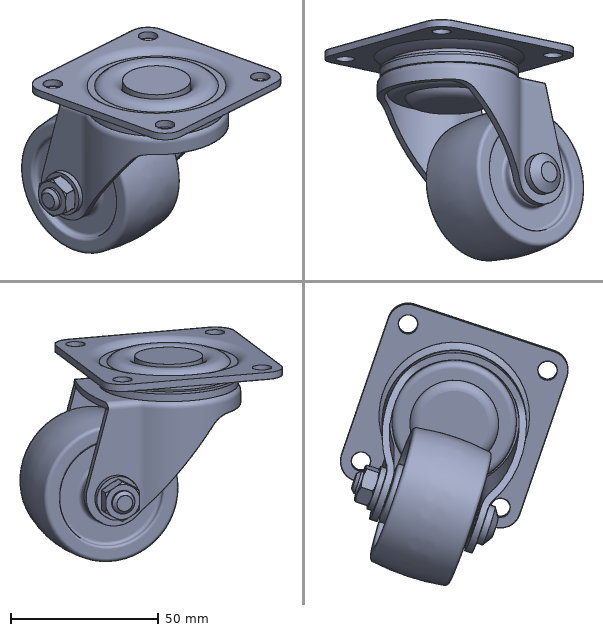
import cadquery as cq
import math


PIN_R = 11.6
AXLE_R = 4.0
SWIVEL_OFFSET = 25.0
AXLE_Z = -43.0

PLATE_SIDE = 64.0
PLATE_T = 2.5
PLATE_CORNER_R = 7.0
HOLE_PITCH = 50.0
HOLE_D = 6.6
DISH_Z = -4.4
ROLL_R = -DISH_Z
GROOVE_Z = -2.05
GROOVE_OUTER_R = 27.3
CREST_OUTER_R = 17.3
CREST_INNER_R = PIN_R + ROLL_R
BOWL_TOP_R = 25.6
BOWL_MID_R = 23.1
BOWL_MID_Z = -3.85
BOWL_BOTTOM_R = 20.9

CAP_R = 21.6
CAP_EDGE_R = 1.55
CAP_FLANGE_R = 23.6
CAP_FLANGE_TOP_Z = -6.5
CAP_BOTTOM_Z = -7.3
PIN_HEAD_R = 15.1
PIN_HEAD_MID_R = 13.85
PIN_HEAD_MID_Z = -18.5
PIN_HEAD_END_R = 11.8
PIN_HEAD_BOTTOM_Z = -19.4

CROWN_TOP_Z = -9.9
CROWN_T = 2.1
LEG_T = 2.5
LEG_OUTER_Y = 18.3
SKIRT_R = 24.5
SKIRT_BOTTOM_Z = -16.4
SKIRT_BLEND_R = 5.25
CROWN_EDGE_R = 2.4
FRONT_X = -30.1
FRONT_EDGE_R = 72.2
LEG_TOP_X = -27.8
LEG_TIP_R = 10.75
LEG_TIP_Z = AXLE_Z + 0.6
REAR_EDGE_ANGLE = 50.1
REAR_BLEND_R = 8.2
RACE_R = 21.15
RACE_EDGE_R = 2.1
RACE_BOTTOM_Z = -16.7

WHEEL_R = 25.0
WHEEL_HALF_W = 13.9
TREAD_EDGE_R = 24.0
TYRE_ROUND = 1.3
RECESS_R = 18.5
RECESS_EDGE_R = 0.9
RECESS_FLOOR_R = 1.15
RECESS_DEPTH = 2.4
HUB_R = 10.4
HUB_EDGE_R = 1.0
HUB_HALF_W = 15.2
SPACER_R = 5.6

HEAD_R = 6.9
HEAD_RIM_T = 2.55
HEAD_T = 4.75
HEAD_END_R = 3.5
WASHER_R = 7.6
WASHER_T = 2.05
NUT_FLATS = 12.05
NUT_T = 5.0
NUT_CHAMFER_H = 0.5
NUT_CHAMFER_R = 0.8
AXLE_END_Y = -27.5
AXLE_END_CHAMFER = 1.2

LEG_INNER_Y = LEG_OUTER_Y - LEG_T
CROWN_BOTTOM_Z = CROWN_TOP_Z - CROWN_T
SELECT_MARGIN = 0.1


def ring(outer_r, inner_r, top_z, bottom_z):
    """Ring about the swivel axis."""
    return (
        cq.Workplane("XY").workplane(offset=bottom_z)
        .circle(outer_r).circle(inner_r).extrude(top_z - bottom_z)
    )


def cylinder_y(radius, start_y, end_y):
    """Cylinder along the wheel axis."""
    return (
        cq.Workplane("XZ", origin=(-SWIVEL_OFFSET, start_y, AXLE_Z))
        .circle(radius).extrude(start_y - end_y)
    )


def revolve_about_axle(profile):
    """Revolve a profile drawn as (distance from the axle, Y) about the wheel axis."""
    return profile.close().revolve(360, (0, 0, 0), (0, 1, 0)).translate((-SWIVEL_OFFSET, 0, AXLE_Z))


def roll_point(edge_r, direction, angle):
    """Point on a pressed lip that leaves Z = 0 at edge_r and rolls down in the given radial direction."""
    return (edge_r + direction * ROLL_R * math.sin(angle), ROLL_R * (math.cos(angle) - 1))


def make_plate():
    plate = (
        cq.Workplane("XY").rect(PLATE_SIDE, PLATE_SIDE).extrude(-PLATE_T)
        .edges("|Z").fillet(PLATE_CORNER_R)
    )
    holes = (
        cq.Workplane("XY").rect(HOLE_PITCH, HOLE_PITCH, forConstruction=True)
        .vertices().circle(HOLE_D / 2).extrude(-PLATE_T)
    )
    centre = cq.Workplane("XY").circle(GROOVE_OUTER_R).extrude(-PLATE_T)
    groove_angle = math.acos(1 + GROOVE_Z / ROLL_R)
    dish = (
        cq.Workplane("XZ").moveTo(GROOVE_OUTER_R, 0)
        .threePointArc(
            roll_point(GROOVE_OUTER_R, -1, groove_angle / 2), roll_point(GROOVE_OUTER_R, -1, groove_angle)
        )
        .lineTo(*roll_point(CREST_OUTER_R, 1, groove_angle))
        .threePointArc(roll_point(CREST_OUTER_R, 1, groove_angle / 2), (CREST_OUTER_R, 0))
        .lineTo(CREST_INNER_R, 0)
        .threePointArc(roll_point(CREST_INNER_R, -1, math.pi / 4), (PIN_R, DISH_Z))
        .lineTo(BOWL_BOTTOM_R, DISH_Z)
        .threePointArc((BOWL_MID_R, BOWL_MID_Z), (BOWL_TOP_R, -PLATE_T))
        .lineTo(GROOVE_OUTER_R, -PLATE_T)
        .close().revolve(360, (0, 0, 0), (0, 1, 0))
    )
    return plate.cut(holes).cut(centre).union(dish)


def make_kingpin():
    shank = cq.Workplane("XY").circle(PIN_R).extrude(RACE_BOTTOM_Z)
    cap = ring(CAP_R, PIN_R, DISH_Z, CAP_FLANGE_TOP_Z)
    cap = cap.faces(">Z").edges(cq.selectors.RadiusNthSelector(-1)).fillet(CAP_EDGE_R)
    flange = ring(CAP_FLANGE_R, PIN_R, CAP_FLANGE_TOP_Z, CAP_BOTTOM_Z)
    head = (
        cq.Workplane("XZ").moveTo(0, RACE_BOTTOM_Z).lineTo(PIN_HEAD_R, RACE_BOTTOM_Z)
        .threePointArc((PIN_HEAD_MID_R, PIN_HEAD_MID_Z), (PIN_HEAD_END_R, PIN_HEAD_BOTTOM_Z))
        .lineTo(0, PIN_HEAD_BOTTOM_Z).close()
        .revolve(360, (0, 0, 0), (0, 1, 0))
    )
    return shank.union(cap).union(flange).union(head)


def fork_plan(leg_y, skirt_r, blend_r, top_z):
    """Solid under top_z whose plan is two straight sides blending into a round rear."""
    blend_y = leg_y + blend_r
    blend_x = -math.sqrt((skirt_r + blend_r) ** 2 - blend_y ** 2)
    touch = skirt_r / (skirt_r + blend_r)
    touch_x, touch_y = blend_x * touch, blend_y * touch
    half_turn = math.acos(blend_y / (skirt_r + blend_r)) / 2
    mid_x = blend_x + blend_r * math.sin(half_turn)
    mid_y = blend_y - blend_r * math.cos(half_turn)
    far_x = -SWIVEL_OFFSET - 2 * LEG_TIP_R
    return (
        cq.Workplane("XY").workplane(offset=top_z)
        .moveTo(far_x, leg_y).lineTo(blend_x, leg_y)
        .threePointArc((mid_x, mid_y), (touch_x, touch_y))
        .threePointArc((skirt_r, 0), (touch_x, -touch_y))
        .threePointArc((mid_x, -mid_y), (blend_x, -leg_y))
        .lineTo(far_x, -leg_y).close()
        .extrude(2 * AXLE_Z)
    )


def fork_side_profile():
    """Side outline of crown, legs and skirt, as a solid across the whole width."""
    rear = math.radians(REAR_EDGE_ANGLE)
    rear_touch = (
        -SWIVEL_OFFSET + LEG_TIP_R * math.sin(rear),
        LEG_TIP_Z - LEG_TIP_R * math.cos(rear),
    )
    to_tip_x, to_tip_z = -SWIVEL_OFFSET - LEG_TOP_X, LEG_TIP_Z - CROWN_BOTTOM_Z
    tip_distance = math.hypot(to_tip_x, to_tip_z)
    front = math.atan2(to_tip_z, to_tip_x) - math.asin(LEG_TIP_R / tip_distance)
    tangent_length = math.sqrt(tip_distance ** 2 - LEG_TIP_R ** 2)
    front_touch = (
        LEG_TOP_X + tangent_length * math.cos(front),
        CROWN_BOTTOM_Z + tangent_length * math.sin(front),
    )
    corner_x = rear_touch[0] + (SKIRT_BOTTOM_Z - rear_touch[1]) / math.tan(rear)
    blend_length = REAR_BLEND_R * math.tan(rear / 2)
    blend_centre = (corner_x + blend_length, SKIRT_BOTTOM_Z - REAR_BLEND_R)
    return (
        cq.Workplane("XZ").moveTo(FRONT_X, CROWN_TOP_Z)
        .lineTo(FRONT_X, CROWN_BOTTOM_Z).lineTo(LEG_TOP_X, CROWN_BOTTOM_Z)
        .lineTo(*front_touch)
        .threePointArc((-SWIVEL_OFFSET, LEG_TIP_Z - LEG_TIP_R), rear_touch)
        .lineTo(corner_x - blend_length * math.cos(rear), SKIRT_BOTTOM_Z - blend_length * math.sin(rear))
        .threePointArc(
            (
                blend_centre[0] - REAR_BLEND_R * math.sin(rear / 2),
                blend_centre[1] + REAR_BLEND_R * math.cos(rear / 2),
            ),
            (blend_centre[0], SKIRT_BOTTOM_Z),
        )
        .lineTo(SKIRT_R, SKIRT_BOTTOM_Z).lineTo(SKIRT_R, CROWN_TOP_Z).close()
        .extrude(SKIRT_R, both=True)
    )


def make_fork():
    outside = fork_plan(LEG_OUTER_Y, SKIRT_R, SKIRT_BLEND_R, CROWN_TOP_Z)
    outside = outside.faces(">Z").edges("not(<X)").fillet(CROWN_EDGE_R)
    inside = fork_plan(LEG_INNER_Y, SKIRT_R - LEG_T, SKIRT_BLEND_R + LEG_T, CROWN_BOTTOM_Z)
    sheet = outside.cut(inside).intersect(fork_side_profile())

    crown_layer = (
        cq.Workplane("XY").workplane(offset=CROWN_BOTTOM_Z)
        .rect(4 * SKIRT_R, 4 * SKIRT_R).extrude(CROWN_T)
    )
    bulge = (
        cq.Workplane("XY", origin=(FRONT_X + FRONT_EDGE_R, 0, CROWN_BOTTOM_Z))
        .circle(FRONT_EDGE_R).extrude(CROWN_T)
    )
    sheet = sheet.cut(crown_layer.cut(bulge))

    upper_race = ring(CAP_FLANGE_R, PIN_R, CAP_BOTTOM_Z, CROWN_TOP_Z)
    lower_race = (
        cq.Workplane("XY").workplane(offset=RACE_BOTTOM_Z)
        .circle(RACE_R).extrude(CROWN_BOTTOM_Z - RACE_BOTTOM_Z)
        .faces("<Z").edges().fillet(RACE_EDGE_R)
    )
    pin_bore = cq.Workplane("XY").circle(PIN_R).extrude(RACE_BOTTOM_Z)
    axle_bore = cylinder_y(AXLE_R, LEG_OUTER_Y, -LEG_OUTER_Y)
    fork = sheet.union(lower_race).union(upper_race).cut(pin_bore).cut(axle_bore)

    head_seat = cylinder_y(HEAD_R, LEG_OUTER_Y + HEAD_RIM_T, LEG_OUTER_Y)
    washer_seat = cylinder_y(WASHER_R, -LEG_OUTER_Y, -LEG_OUTER_Y - WASHER_T)
    return fork.cut(head_seat).cut(washer_seat)


def round_circle(body, radius, y, round_r):
    """Round the circular edge of the given radius about the wheel axis at the given Y."""
    reach = radius + SELECT_MARGIN
    near = cq.selectors.BoxSelector(
        (-SWIVEL_OFFSET - reach, y - SELECT_MARGIN, AXLE_Z - reach),
        (-SWIVEL_OFFSET + reach, y + SELECT_MARGIN, AXLE_Z + reach),
        boundingbox=True,
    )
    edge = body.edges("%CIRCLE").edges(near).edges(cq.selectors.RadiusNthSelector(-1))
    return edge.fillet(round_r)


def make_tyre():
    """Crowned solid wheel with rounded tyre edges, between its two side faces."""
    side = WHEEL_HALF_W
    shoulder = side - TYRE_ROUND
    round_mid = TYRE_ROUND * (1 - math.sqrt(0.5))
    return revolve_about_axle(
        cq.Workplane("XY").moveTo(0, -side).lineTo(TREAD_EDGE_R - TYRE_ROUND, -side)
        .threePointArc((TREAD_EDGE_R - round_mid, round_mid - side), (TREAD_EDGE_R, -shoulder))
        .threePointArc((WHEEL_R, 0), (TREAD_EDGE_R, shoulder))
        .threePointArc((TREAD_EDGE_R - round_mid, side - round_mid), (TREAD_EDGE_R - TYRE_ROUND, side))
        .lineTo(0, side)
    )


def make_wheel():
    floor = WHEEL_HALF_W - RECESS_DEPTH
    wheel = make_tyre()
    for side in (1, -1):
        recess = cylinder_y(RECESS_R, side * WHEEL_HALF_W, side * floor)
        hub = cylinder_y(HUB_R, side * floor, side * HUB_HALF_W)
        wheel = wheel.cut(recess).union(hub)
        wheel = round_circle(wheel, RECESS_R, side * WHEEL_HALF_W, RECESS_EDGE_R)
        wheel = round_circle(wheel, RECESS_R, side * floor, RECESS_FLOOR_R)
        wheel = round_circle(wheel, HUB_R, side * floor, RECESS_FLOOR_R)
        wheel = round_circle(wheel, HUB_R, side * HUB_HALF_W, HUB_EDGE_R)
        wheel = wheel.union(cylinder_y(SPACER_R, side * HUB_HALF_W, side * LEG_INNER_Y))
    return wheel.cut(cylinder_y(AXLE_R, LEG_INNER_Y, -LEG_INNER_Y))


def make_nut(start_y):
    end_y = start_y - NUT_T
    corner_r = NUT_FLATS / 2 / math.cos(math.pi / 6)
    hexagon = (
        cq.Workplane("XZ", origin=(-SWIVEL_OFFSET, start_y, AXLE_Z))
        .polygon(6, 2 * corner_r).extrude(NUT_T)
        .rotate((-SWIVEL_OFFSET, 0, AXLE_Z), (-SWIVEL_OFFSET, 1, AXLE_Z), 30)
    )
    chamfer_r = corner_r - NUT_CHAMFER_R
    turned = revolve_about_axle(
        cq.Workplane("XY").moveTo(0, start_y).lineTo(chamfer_r, start_y)
        .lineTo(corner_r, start_y - NUT_CHAMFER_H).lineTo(corner_r, end_y + NUT_CHAMFER_H)
        .lineTo(chamfer_r, end_y).lineTo(0, end_y)
    )
    return hexagon.intersect(turned)


def make_axle():
    head = revolve_about_axle(
        cq.Workplane("XY").moveTo(0, LEG_OUTER_Y)
        .lineTo(HEAD_R, LEG_OUTER_Y).lineTo(HEAD_R, LEG_OUTER_Y + HEAD_RIM_T)
        .lineTo(HEAD_END_R, LEG_OUTER_Y + HEAD_T).lineTo(0, LEG_OUTER_Y + HEAD_T)
    )
    shank = cylinder_y(AXLE_R, LEG_OUTER_Y, AXLE_END_Y).faces("<Y").chamfer(AXLE_END_CHAMFER)
    nut_y = -LEG_OUTER_Y - WASHER_T
    washer = cylinder_y(WASHER_R, -LEG_OUTER_Y, nut_y)
    return shank.union(head).union(washer).union(make_nut(nut_y))


plate = make_plate()
kingpin = make_kingpin()
fork = make_fork()
wheel = make_wheel()
axle = make_axle()

result = cq.Compound.makeCompound([plate.val(), kingpin.val(), fork.val(), wheel.val(), axle.val()])